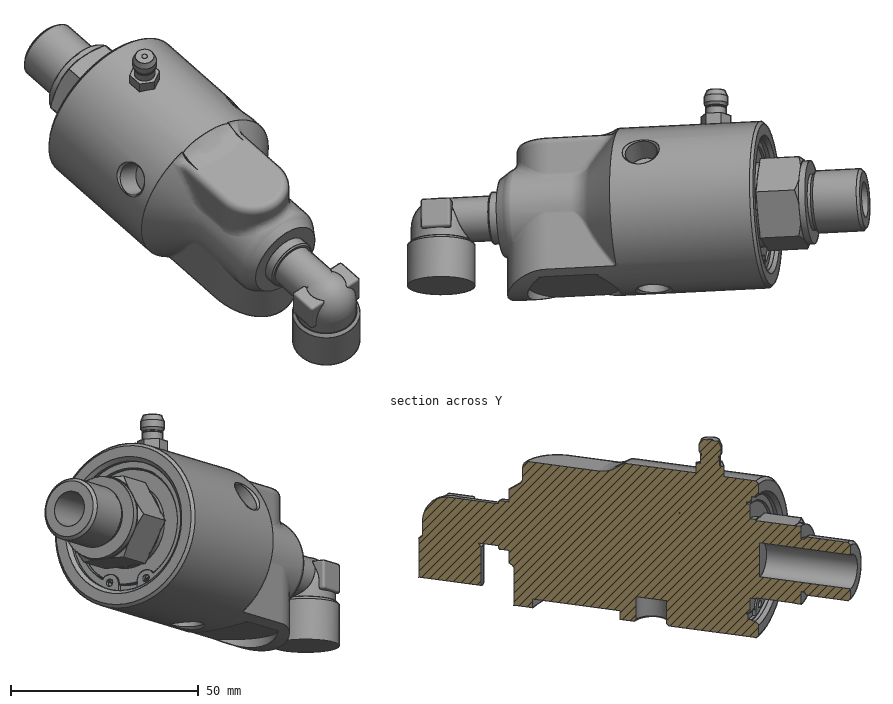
import cadquery as cq
import math


overlap = 1.0
pick_tolerance = 0.1

thread_diameter = 16.66
thread_length = 13.4
thread_chamfer = 0.8
neck_diameter = 15.1
neck_end = 14.2
collar_diameter = 22.2
collar_end = 15.9
hex_flats = 22.0
hex_chamfer_diameter = 22.65
hex_chamfer_angle = 30
hex_half_angle = math.pi / 6
shoulder_length = 1.6
shoulder_diameter = 22.65
bore_diameter = 9.5
bore_depth = 26.0

body_start = 26.3
body_end = 65.0
body_diameter = 44.5
body_radius = body_diameter / 2
body_chamfer = 0.8
shoulder_blend = 6.6
tail_radius = 12.8
tail_end = 97.9
tail_end_radius = 10.4
tail_taper_start = 93.7
tail_taper_middle = (94.9, 12.4)
tail_cone_start = (95.9, 11.7)

recess_diameter = 35.0
recess_chamfer = 1.0
ring_face = body_start + 2.0
ring_thickness = 1.0
ring_inner_diameter = 31.6
cover_face = ring_face + 0.5
cover_diameter = 30.95
ear_radius = 2.8
ear_offset_y = 5.8
ear_center_z = -15.2
ear_hole_z = -14.7
ear_hole_diameter = 1.98

radial_hole_x = 57.1
radial_hole_diameter = 8.6
radial_hole_rim_diameter = 10.0
radial_hole_floor = 15.2
radial_hole_angles = (30, 150, 270)

boss_round_x = 84.0
upper_boss_radius = 10.0
upper_boss_top = 19.07
upper_boss_edge_fillet = 2.0
upper_boss_blend = 10.0
upper_root_fillet = 2.3
lower_boss_radius = 12.5
lower_root_fillet = 1.0
spotface_x = 78.6
spotface_diameter = 25.0
spotface_z = -19.8

nipple_x = 40.3
nipple_hex_flats = 7.0
nipple_hex_top = 25.1
nipple_shank_diameter = 5.5
nipple_shank_top = 27.3
nipple_groove_diameter = 5.0
nipple_head_bottom = 27.7
nipple_head_diameter = 6.35
nipple_band_bottom = 28.5
nipple_band_top = 30.4
nipple_crown_diameter = 5.0
nipple_crown_z = 32.0
nipple_ball_diameter = 1.5
nipple_top = 32.24

spigot_diameter = 13.89
spigot_end = 100.9
spigot_chamfer = 0.4
pipe_diameter = 12.0
socket_diameter = 18.0
overall_length = 123.71
elbow_x = overall_length - socket_diameter / 2
elbow_diameter = 16.0
elbow_dome_z = (pipe_diameter - elbow_diameter) / 2
socket_bottom = -17.9
socket_top = -6.05
socket_chamfer = 0.8
pad_width = 8.0
pad_half_span = 8.5
pad_fillet = 0.7


def x_cylinder(x_start, x_end, diameter):
    """Cylinder on the main axis."""
    return cq.Workplane("YZ", origin=(x_start, 0, 0)).circle(diameter / 2).extrude(x_end - x_start)


def make_rotor():
    """Threaded end, undercut neck, collar and wrench hexagon down to the cover plate."""
    thread = x_cylinder(0, thread_length, thread_diameter).edges().chamfer(thread_chamfer)
    neck = x_cylinder(thread_length - thread_chamfer, neck_end, neck_diameter)
    collar = x_cylinder(neck_end, collar_end, collar_diameter)
    hex_end = cover_face - shoulder_length
    hex_corners = hex_flats / math.cos(hex_half_angle)
    hexagon = (
        cq.Workplane("YZ", origin=(collar_end, 0, 0))
        .polygon(6, hex_corners)
        .extrude(hex_end - collar_end)
    )
    chamfer_depth = (hex_corners - hex_chamfer_diameter) / 2
    chamfer_length = chamfer_depth * math.tan(math.radians(hex_chamfer_angle))
    turned = x_cylinder(collar_end, hex_end, hex_corners)
    turned = turned.faces("<X").chamfer(chamfer_length, chamfer_depth)
    shoulder = x_cylinder(hex_end, cover_face, shoulder_diameter)
    return thread.union(neck).union(collar).union(hexagon.intersect(turned)).union(shoulder)


def make_housing():
    """Turned body, 45 degree shoulder cone, concave blend and tapered tail."""
    blend_half_angle = math.pi / 8
    vertex_x = body_end + body_radius - tail_radius
    blend_tangent = shoulder_blend * math.tan(blend_half_angle)
    cone_step = blend_tangent * math.sqrt(0.5)
    blend_middle = shoulder_blend * (1 - math.cos(blend_half_angle))
    arc_end_x = vertex_x + blend_tangent
    arc_middle = (arc_end_x - shoulder_blend * math.sin(blend_half_angle), tail_radius + blend_middle)
    profile = (
        cq.Workplane("XY")
        .moveTo(body_start, 0)
        .lineTo(body_start, body_radius - body_chamfer)
        .lineTo(body_start + body_chamfer, body_radius)
        .lineTo(body_end, body_radius)
        .lineTo(vertex_x - cone_step, tail_radius + cone_step)
        .threePointArc(arc_middle, (arc_end_x, tail_radius))
        .lineTo(tail_taper_start, tail_radius)
        .threePointArc(tail_taper_middle, tail_cone_start)
        .lineTo(tail_end, tail_end_radius)
        .lineTo(tail_end, 0)
        .close()
    )
    return profile.revolve(360, (0, 0, 0), (1, 0, 0))


def make_boss(radius, z_start, z_end):
    """Upright boss with straight flanks and a round far end."""
    return (
        cq.Workplane("XY", origin=(0, 0, z_start))
        .moveTo(body_end, -radius)
        .lineTo(boss_round_x, -radius)
        .threePointArc((boss_round_x + radius, 0), (boss_round_x, radius))
        .lineTo(body_end, radius)
        .close()
        .extrude(z_end - z_start)
    )


def fillet_root(part, radius, z_low, z_high):
    """Fillet the seam where a boss wall meets the shoulder and tail, between two heights."""
    seam = []
    for edge in part.edges().vals():
        box = edge.BoundingBox()
        middle = edge.positionAt(0.5)
        inside_body_outline = math.hypot(middle.y, middle.z) < body_radius - pick_tolerance
        in_reach = box.xmin > body_end - pick_tolerance and z_low < middle.z < z_high
        on_curve = edge.geomType() in ("HYPERBOLA", "BSPLINE")
        along_axis = edge.geomType() == "LINE" and box.zlen < pick_tolerance < box.xlen
        if inside_body_outline and in_reach and (on_curve or along_axis):
            seam.append(edge)
    return part.newObject([part.val().fillet(radius, seam)])


def add_upper_boss(part):
    """Upper boss with a blended root and a rounded top rim."""
    boss = make_boss(upper_boss_radius, 0, upper_boss_top)
    rim_height = upper_boss_top - upper_boss_edge_fillet
    part = fillet_root(part.union(boss), upper_root_fillet, 0, rim_height)
    top_center = cq.selectors.NearestToPointSelector((boss_round_x, 0, upper_boss_top))
    rim = [edge for edge in part.faces(top_center).edges().vals() if edge.geomType() != "HYPERBOLA"]
    return part.newObject([part.val().fillet(upper_boss_edge_fillet, rim)])


def make_ramp():
    """Concave ramp that leads from the shoulder cone onto the top of the upper boss."""
    half_width = upper_boss_radius - upper_boss_edge_fillet
    reach = body_radius
    cone = (
        cq.Workplane("XY")
        .moveTo(body_end - reach, 0)
        .lineTo(body_end - reach, body_radius + reach)
        .lineTo(body_end + body_radius, 0)
        .close()
        .revolve(360, (0, 0, 0), (1, 0, 0))
    )
    slab = (
        cq.Workplane("XY", origin=(body_end - reach / 2, 0, 0))
        .box(2 * reach, 2 * reach, upper_boss_top, centered=(False, True, False))
    )
    seam_x = body_end + body_radius - upper_boss_top
    seam_selector = cq.selectors.NearestToPointSelector((seam_x, 0, upper_boss_top))
    blended = cone.union(slab).edges(seam_selector).fillet(upper_boss_blend)
    window = (
        cq.Workplane("XY", origin=(body_end, 0, 0))
        .box(boss_round_x - body_end, 2 * half_width, body_radius, centered=(False, True, False))
    )
    return blended.intersect(window).intersect(x_cylinder(body_end, boss_round_x, body_diameter))


def add_lower_boss(part):
    """Lower boss whose underside continues the body cylinder."""
    boss = make_boss(lower_boss_radius, -body_radius, 0)
    boss = boss.intersect(x_cylinder(body_end, overall_length, body_diameter))
    return fillet_root(part.union(boss), lower_root_fillet, -body_radius, 0)


def cut_spotface(part):
    """Flat round seat on the underside of the lower boss."""
    cutter = (
        cq.Workplane("XY", origin=(spotface_x, 0, spotface_z))
        .circle(spotface_diameter / 2)
        .extrude(-body_radius)
    )
    return part.cut(cutter)


def cut_radial_holes(part):
    """Flat-bottomed holes with chamfered rims, aimed at the main axis."""
    rim_chamfer = (radial_hole_rim_diameter - radial_hole_diameter) / 2
    hole_radius = radial_hole_diameter / 2
    rim_radius = radial_hole_rim_diameter / 2
    cutter = (
        cq.Workplane("XZ", origin=(radial_hole_x, 0, 0))
        .moveTo(0, radial_hole_floor)
        .lineTo(hole_radius, radial_hole_floor)
        .lineTo(hole_radius, body_radius - rim_chamfer)
        .lineTo(rim_radius, body_radius)
        .lineTo(rim_radius, body_radius + overlap)
        .lineTo(0, body_radius + overlap)
        .close()
        .revolve(360, (0, 0, 0), (0, 1, 0))
    )
    axis_start = (radial_hole_x, 0, 0)
    axis_end = (overall_length, 0, 0)
    cutter_angle = 90
    for angle in radial_hole_angles:
        part = part.cut(cutter.rotate(axis_start, axis_end, angle - cutter_angle))
    return part


def cut_front_recess(part):
    """Recess with a chamfered mouth, a slotted retaining ring with two eared ends, and the cover plate."""
    recess = x_cylinder(body_start, ring_face, recess_diameter)
    mouth = (
        cq.Workplane("YZ", origin=(body_start, 0, 0))
        .circle(recess_diameter / 2 + recess_chamfer)
        .workplane(offset=recess_chamfer)
        .circle(recess_diameter / 2)
        .loft()
    )
    inside = x_cylinder(ring_face, cover_face + ring_thickness, ring_inner_diameter)
    gap = (
        cq.Workplane("YZ", origin=(ring_face, 0, 0))
        .center(0, -ring_inner_diameter / 2)
        .rect(2 * (ear_offset_y - ear_radius), ear_radius)
        .extrude(ring_thickness)
        .intersect(x_cylinder(ring_face, ring_face + ring_thickness, recess_diameter))
    )
    cover = x_cylinder(cover_face, cover_face + ring_thickness, cover_diameter)
    part = part.cut(recess).cut(mouth).cut(inside).cut(gap).union(cover)
    ring_plane = cq.Workplane("YZ", origin=(ring_face, 0, 0))
    ear_centers = [(side * ear_offset_y, ear_center_z) for side in (-1, 1)]
    hole_centers = [(side * ear_offset_y, ear_hole_z) for side in (-1, 1)]
    ears = ring_plane.pushPoints(ear_centers).circle(ear_radius).extrude(ring_thickness)
    ears = ears.intersect(x_cylinder(ring_face, ring_face + ring_thickness, recess_diameter))
    holes = ring_plane.pushPoints(hole_centers).circle(ear_hole_diameter / 2).extrude(ring_thickness)
    return part.union(ears).cut(holes)


def make_nipple():
    """Grease nipple: hexagon base with a turned head."""
    base_z = body_radius - overlap
    ball_radius = nipple_ball_diameter / 2
    ball_height = nipple_top - nipple_crown_z
    cap_radius = (ball_radius**2 + ball_height**2) / (2 * ball_height)
    cap_half_angle = math.asin(ball_radius / cap_radius) / 2
    cap_middle = (
        cap_radius * math.sin(cap_half_angle),
        nipple_top - cap_radius * (1 - math.cos(cap_half_angle)),
    )
    hexagon = (
        cq.Workplane("XY", origin=(nipple_x, 0, base_z))
        .polygon(6, nipple_hex_flats / math.cos(hex_half_angle))
        .extrude(nipple_hex_top - base_z)
    )
    head = (
        cq.Workplane("XZ", origin=(nipple_x, 0, 0))
        .moveTo(0, nipple_hex_top)
        .lineTo(nipple_shank_diameter / 2, nipple_hex_top)
        .lineTo(nipple_shank_diameter / 2, nipple_shank_top)
        .lineTo(nipple_groove_diameter / 2, nipple_shank_top)
        .lineTo(nipple_groove_diameter / 2, nipple_head_bottom)
        .lineTo(nipple_shank_diameter / 2, nipple_head_bottom)
        .lineTo(nipple_head_diameter / 2, nipple_band_bottom)
        .lineTo(nipple_head_diameter / 2, nipple_band_top)
        .lineTo(nipple_crown_diameter / 2, nipple_crown_z)
        .lineTo(ball_radius, nipple_crown_z)
        .threePointArc(cap_middle, (0, nipple_top))
        .close()
        .revolve(360, (0, 0, 0), (0, 1, 0))
    )
    return hexagon.union(head)


def make_outlet():
    """Spigot, pipe and elbow with a downward socket and two wrench pads."""
    spigot = x_cylinder(tail_end, spigot_end, spigot_diameter).faces(">X").edges().chamfer(spigot_chamfer)
    pipe = x_cylinder(spigot_end - spigot_chamfer, elbow_x, pipe_diameter)
    riser = (
        cq.Workplane("XY", origin=(elbow_x, 0, socket_top))
        .circle(elbow_diameter / 2)
        .extrude(elbow_dome_z - socket_top)
    )
    dome = cq.Workplane("XY", origin=(elbow_x, 0, elbow_dome_z)).sphere(elbow_diameter / 2)
    socket = (
        cq.Workplane("XY", origin=(elbow_x, 0, socket_bottom))
        .circle(socket_diameter / 2)
        .extrude(socket_top - socket_bottom)
        .faces(">Z")
        .edges()
        .chamfer(socket_chamfer)
    )
    pads = (
        cq.Workplane("XY", origin=(elbow_x, 0, 0))
        .box(pad_width, 2 * pad_half_span, pad_width)
        .edges()
        .fillet(pad_fillet)
    )
    return spigot.union(pipe).union(riser).union(dome).union(socket).union(pads)


housing = add_lower_boss(make_housing())
housing = add_upper_boss(housing).union(make_ramp())
housing = cut_radial_holes(cut_spotface(housing))
housing = cut_front_recess(housing)
rotor_bore = x_cylinder(0, bore_depth, bore_diameter)
result = housing.union(make_rotor()).cut(rotor_bore).union(make_nipple()).union(make_outlet())